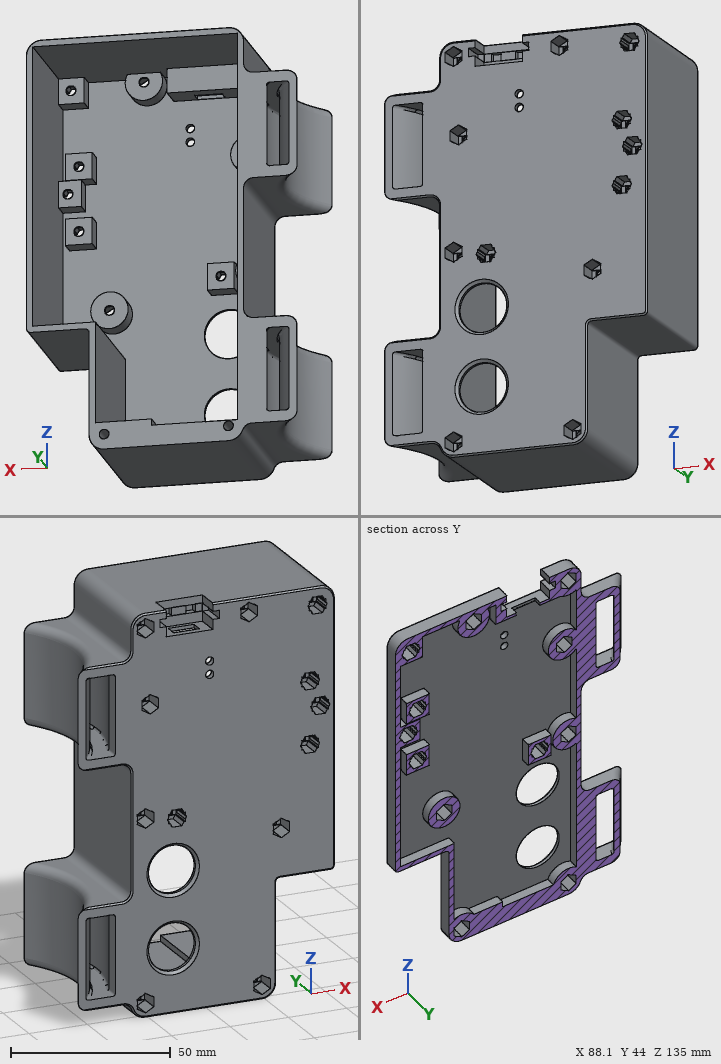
import cadquery as cq
import math

depth = 44.0
body_left = 18.2
body_right = 88.0
foot_right = 67.9
body_top = 135.0
step_z = 39.7
corner_radius = 4.9
root_radius = 3.2
step_radius = 1.4
edge_chamfer = 0.5

lug_height = 34.4
lug_bottoms = (step_z - lug_height, 85.5)
lug_edge_radius = 3.0
lug_overhang = 2.7
seat_radius = 34.0
seat_x = -25.4
seat_y = 22.7
channel_inner_radius = 36.0
channel_outer_radius = 42.0
channel_mouth_right = 12.7
channel_height = 27.3
channel_fillet = 0.8
channel_overrun = 1.4

wall = 2.0
front_thickness = 2.0
floor_z = 6.8
ledge_z = 8.8
ledge_left = 47.8
recess_x = 58.0
recess_y = 14.5
recess_diameter = 16.0
recess_depth = 1.0

screw_hole_diameter = 3.1
nut_corner_diameter = 6.5
nut_depth = 6.8
bridge_step = 0.4
post_diameter = 12.0
standoff_width = 8.6
boss_length = 8.1
screw_inset = 4.9
screw_left = body_left + screw_inset
screw_top = body_top - screw_inset
post_points = (
    (screw_left, screw_inset),
    (foot_right - screw_inset, screw_inset),
    (screw_left, 66.5),
    (69.7, 56.3),
    (24.7, 104.5),
    (screw_left, screw_top),
    (58.6, screw_top),
)
standoff_points = ((33.9, 65.1), (79.5, 82.8), (83.0, 95.2), (79.5, 104.0), (82.1, 128.9))

window_x = 32.5
window_heights = (21.9, 47.8)
window_diameter = 16.0
window_chamfer = 1.0
indicator_x = 45.1
indicator_heights = (111.4, 115.8)
indicator_diameter = 2.7

notch_center = 38.2
notch_width = 15.9
notch_floor = 126.2
notch_depth = 8.1
groove_width = 20.2
band_depth = 8.4
groove_bottom = 129.6
groove_height = 2.7
pin_hole_width = 3.2
pin_hole_spacing = 8.1
pin_hole_depth = 2.0
vent_width = 8.8
vent_front = 2.4
vent_back = 6.6
housing_width = 24.3
housing_depth = 11.5
housing_bottom = 125.0


def block(x0, x1, y0, y1, z0, z1):
    """Box between two opposite corners."""
    return cq.Workplane("XY").box(x1 - x0, y1 - y0, z1 - z0, centered=False).translate((x0, y0, z0))


def cylinder(x, z, diameter, length):
    """Cylinder from the front face toward the back."""
    return cq.Workplane("XZ").center(x, z).circle(diameter / 2).extrude(-length)


def seat_cylinder(radius):
    """Vertical cylinder about the seat axis, over the full height of the body."""
    return cq.Workplane("XY").center(seat_x, seat_y).circle(radius).extrude(body_top)


def body_outline():
    """Front outline of the body and lugs, with the lower lug running smoothly into the foot corner."""
    low, high = lug_bottoms
    foot_x = body_left + corner_radius
    root_z = low - root_radius
    span = root_radius + corner_radius
    root_x = foot_x - math.sqrt(span**2 - (corner_radius - root_z) ** 2)
    share = root_radius / span
    touch = (root_x + share * (foot_x - root_x), root_z + share * (corner_radius - root_z))
    return (
        cq.Workplane("XZ")
        .moveTo(foot_x, 0)
        .lineTo(foot_right - corner_radius, 0)
        .radiusArc((foot_right, corner_radius), -corner_radius)
        .lineTo(foot_right, step_z - step_radius)
        .radiusArc((foot_right + step_radius, step_z), step_radius)
        .lineTo(body_right - step_radius, step_z)
        .radiusArc((body_right, step_z + step_radius), -step_radius)
        .lineTo(body_right, body_top - corner_radius)
        .radiusArc((body_right - corner_radius, body_top), -corner_radius)
        .lineTo(foot_x, body_top)
        .radiusArc((body_left, body_top - corner_radius), -corner_radius)
        .lineTo(body_left, high + lug_height + root_radius)
        .radiusArc((body_left - root_radius, high + lug_height), root_radius)
        .lineTo(-lug_overhang, high + lug_height)
        .lineTo(-lug_overhang, high)
        .lineTo(body_left - root_radius, high)
        .radiusArc((body_left, high - root_radius), root_radius)
        .lineTo(body_left, low + lug_height + root_radius)
        .radiusArc((body_left - root_radius, low + lug_height), root_radius)
        .lineTo(-lug_overhang, low + lug_height)
        .lineTo(-lug_overhang, low)
        .lineTo(root_x, low)
        .radiusArc(touch, root_radius)
        .radiusArc((foot_x, 0), -corner_radius)
        .close()
    )


def outer_body():
    """Solid body with seats cut into the lugs, rounded seat edges and a chamfered front rim."""
    body = body_outline().extrude(-depth).faces("<Y").chamfer(edge_chamfer)
    body = body.cut(seat_cylinder(seat_radius))
    seat_box_low = (0, 1.4, 0)
    seat_box_high = (body_left / 2, depth - 1.4, body_top)
    seat_edges = body.edges("%CIRCLE").edges(cq.selectors.BoxSelector(seat_box_low, seat_box_high))
    return seat_edges.fillet(lug_edge_radius)


def cavity():
    """Hollow behind the front plate: upper room, narrower foot room and a raised floor ledge."""
    back = depth + wall
    room_left = body_left + wall
    upper = block(room_left, body_right - wall, front_thickness, back, step_z + wall, body_top - wall)
    foot = block(room_left, foot_right - wall, front_thickness, back, floor_z, body_top - wall)
    ledge = block(ledge_left, foot_right, 0, back, 0, ledge_z)
    return upper.union(foot.cut(ledge))


def ledge_recess():
    """Shallow round recess in the floor ledge, narrowing downward at 45 degrees."""
    rim = recess_diameter / 2
    cone = cq.Solid.makeCone(
        rim, rim - recess_depth, recess_depth, cq.Vector(recess_x, recess_y, ledge_z), cq.Vector(0, 0, -1)
    )
    return cq.Workplane(cone)


def housing():
    """Solid block inside the top edge that surrounds the connector notch."""
    left = notch_center - housing_width / 2
    return block(left, left + housing_width, 0, housing_depth, housing_bottom, body_top - wall)


def centered_slot(center, width, y0, y1, z0, z1):
    """Box with a given centre and width along X."""
    return block(center - width / 2, center + width / 2, y0, y1, z0, z1)


def connector_notch():
    """Notch with a cross groove for the connector board, a shallow band with two pin holes, and a vent."""
    groove_top = groove_bottom + groove_height
    notch = centered_slot(notch_center, notch_width, 0, notch_depth, notch_floor, body_top)
    notch = notch.union(centered_slot(notch_center, groove_width, 0, notch_depth, groove_bottom, groove_top))
    notch = notch.union(centered_slot(notch_center, notch_width, 0, band_depth, groove_bottom, groove_top))
    for side in (-1, 1):
        pin_x = notch_center + side * pin_hole_spacing / 2
        pin_end = band_depth + pin_hole_depth
        notch = notch.union(centered_slot(pin_x, pin_hole_width, 0, pin_end, groove_bottom, groove_top))
    return notch.union(
        centered_slot(notch_center, vent_width, vent_front, vent_back, housing_bottom - wall, body_top)
    )


def nut_hole(x, z, turn):
    """Screw hole with a hexagonal nut pocket; two thin steps narrow the pocket down to the hole."""
    across_flats = nut_corner_diameter * math.cos(math.pi / 6)
    nut = cq.Workplane("XZ").polygon(6, nut_corner_diameter).extrude(-nut_depth)
    slit = cq.Workplane("XZ").rect(across_flats, screw_hole_diameter)
    slit = slit.extrude(-(nut_depth + bridge_step))
    square = cq.Workplane("XZ").rect(screw_hole_diameter, screw_hole_diameter)
    square = square.extrude(-(nut_depth + 2 * bridge_step))
    hole = cylinder(0, 0, screw_hole_diameter, depth)
    nut = nut.rotate((0, 0, 0), (0, 1, 0), turn)
    return nut.union(slit).union(square).union(hole).translate((x, 0, z))


def round_window(z):
    """Round opening through the front plate with a chamfered rim."""
    rim = window_diameter / 2 + window_chamfer
    cone = cq.Solid.makeCone(
        rim, rim - window_chamfer, window_chamfer, cq.Vector(window_x, 0, z), cq.Vector(0, 1, 0)
    )
    return cylinder(window_x, z, window_diameter, front_thickness).union(cq.Workplane(cone))


def circle_x(radius, y):
    """X where a circle about the seat axis crosses the given depth, on its right side."""
    return seat_x + math.sqrt(radius**2 - (y - seat_y) ** 2)


def strap_channel(bottom):
    """Curved channel through a lug, concentric with its seat; a straight mouth widens its front end."""
    front = -channel_overrun
    back = depth + channel_overrun
    mouth_end = seat_y - math.sqrt(channel_outer_radius**2 - (channel_mouth_right - seat_x) ** 2)
    return (
        cq.Workplane("XY", origin=(0, 0, bottom))
        .moveTo(circle_x(channel_inner_radius, front), front)
        .threePointArc(
            (seat_x + channel_inner_radius, seat_y), (circle_x(channel_inner_radius, back), back)
        )
        .lineTo(circle_x(channel_outer_radius, back), back)
        .threePointArc((seat_x + channel_outer_radius, seat_y), (channel_mouth_right, mouth_end))
        .lineTo(channel_mouth_right, front)
        .close()
        .extrude(channel_height)
        .faces(">Z or <Z")
        .edges()
        .fillet(channel_fillet)
    )


body = outer_body()
shell = body.cut(cavity()).cut(ledge_recess()).union(housing())

for x, z in post_points:
    shell = shell.union(cylinder(x, z, post_diameter, boss_length).intersect(body))
for x, z in standoff_points:
    standoff = cq.Workplane("XZ").center(x, z).rect(standoff_width, standoff_width).extrude(-boss_length)
    shell = shell.union(standoff.intersect(body))

shell = shell.cut(connector_notch())
for x, z in post_points:
    shell = shell.cut(nut_hole(x, z, 90))
for x, z in standoff_points:
    shell = shell.cut(nut_hole(x, z, 0))
for z in window_heights:
    shell = shell.cut(round_window(z))
for z in indicator_heights:
    shell = shell.cut(cylinder(indicator_x, z, indicator_diameter, front_thickness))
for low in lug_bottoms:
    shell = shell.cut(strap_channel(low + (lug_height - channel_height) / 2))

result = shell